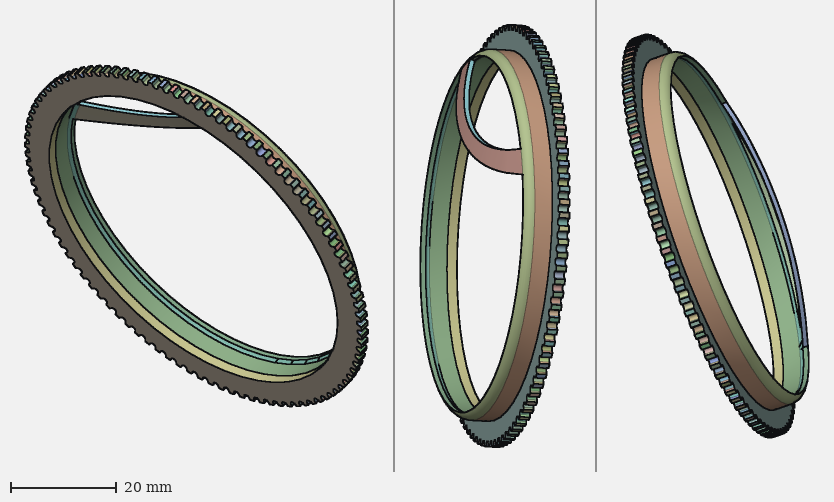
import cadquery as cq
import math

TIP_RADIUS = 40.0
ROOT_RADIUS = 39.0
GAP_FLOOR_RADIUS = 39.5
TOOTH_COUNT = 99
FIRST_TOOTH_ANGLE = -0.45
GAP_WIDTH_AT_TIP = 1.5
GAP_WIDTH_AT_FLOOR = 1.2
RING_THICKNESS = 2.0

CAP_RADIUS = 35.2
WALL = 1.0
SHOULDER_Y = 5.5
SHOULDER_RADIUS = 2.0
DOME_RADIUS = 96.0
OPENING_RADIUS = 33.8

STRAP_ANGLE = 125.1
STRAP_INNER_OFFSET = 18.2
STRAP_INNER_EDGE_RADIUS = 58.4
STRAP_OUTER_OFFSET = 21.3
STRAP_OUTER_EDGE_RADIUS = 38.8

BORE_RADIUS = CAP_RADIUS - WALL
MARGIN = 0.8


def cylinder_y(radius, y_start, y_end):
    """Cylinder about the Y axis."""
    return cq.Workplane("XZ", origin=(0, y_start, 0)).circle(radius).extrude(y_start - y_end)


def make_toothed_ring():
    """Flat ring whose rim is cut by evenly spaced gaps with sloping flanks and round floors."""
    pitch = 2 * math.pi / TOOTH_COUNT
    first_tooth = math.radians(FIRST_TOOTH_ANGLE)
    half_gap_tip = GAP_WIDTH_AT_TIP / TIP_RADIUS / 2
    half_gap_floor = GAP_WIDTH_AT_FLOOR / GAP_FLOOR_RADIUS / 2

    def rim_point(radius, angle):
        return (radius * math.cos(angle), radius * math.sin(angle))

    rim = cq.Workplane("XZ").moveTo(*rim_point(TIP_RADIUS, first_tooth - pitch / 2 + half_gap_tip))
    for tooth in range(TOOTH_COUNT):
        tooth_middle = first_tooth + tooth * pitch
        gap_middle = tooth_middle + pitch / 2
        rim = (
            rim.threePointArc(
                rim_point(TIP_RADIUS, tooth_middle),
                rim_point(TIP_RADIUS, gap_middle - half_gap_tip),
            )
            .lineTo(*rim_point(GAP_FLOOR_RADIUS, gap_middle - half_gap_floor))
            .threePointArc(
                rim_point(ROOT_RADIUS, gap_middle),
                rim_point(GAP_FLOOR_RADIUS, gap_middle + half_gap_floor),
            )
            .lineTo(*rim_point(TIP_RADIUS, gap_middle + half_gap_tip))
        )
    blank = rim.close().extrude(-RING_THICKNESS)
    return blank.cut(cylinder_y(BORE_RADIUS, -MARGIN, RING_THICKNESS + MARGIN))


def make_dome_blank():
    """Closed cap: straight wall, rounded shoulder and a spherical dome of even thickness."""
    shoulder_x = CAP_RADIUS - SHOULDER_RADIUS
    centre_gap = DOME_RADIUS - SHOULDER_RADIUS
    dome_centre_y = SHOULDER_Y - math.sqrt(centre_gap**2 - shoulder_x**2)
    tangent_angle = math.acos(shoulder_x / centre_gap)

    def shoulder_point(radius, angle):
        return (shoulder_x + radius * math.cos(angle), SHOULDER_Y + radius * math.sin(angle))

    def dome_point(radius, angle):
        return (radius * math.cos(angle), dome_centre_y + radius * math.sin(angle))

    dome_mid_angle = (tangent_angle + math.pi / 2) / 2
    inner_shoulder = SHOULDER_RADIUS - WALL
    inner_dome = DOME_RADIUS - WALL
    profile = (
        cq.Workplane("XY")
        .moveTo(BORE_RADIUS, RING_THICKNESS)
        .lineTo(CAP_RADIUS, RING_THICKNESS)
        .lineTo(CAP_RADIUS, SHOULDER_Y)
        .threePointArc(
            shoulder_point(SHOULDER_RADIUS, tangent_angle / 2),
            shoulder_point(SHOULDER_RADIUS, tangent_angle),
        )
        .threePointArc(dome_point(DOME_RADIUS, dome_mid_angle), dome_point(DOME_RADIUS, math.pi / 2))
        .lineTo(*dome_point(inner_dome, math.pi / 2))
        .threePointArc(dome_point(inner_dome, dome_mid_angle), dome_point(inner_dome, tangent_angle))
        .threePointArc(
            shoulder_point(inner_shoulder, tangent_angle / 2),
            (BORE_RADIUS, SHOULDER_Y),
        )
        .close()
    )
    return profile.revolve(360, (0, 0, 0), (0, 1, 0))


def edge_cylinder(offset, radius):
    """Cylinder whose side passes `offset` from the Y axis along the strap direction."""
    angle = math.radians(STRAP_ANGLE)
    reach = offset + radius
    centre = (reach * math.cos(angle), 0, reach * math.sin(angle))
    return cylinder_y(radius, RING_THICKNESS, DOME_RADIUS).translate(centre)


def make_cap():
    """Domed cap with a round opening, leaving a curved strap across one side."""
    strap_zone = edge_cylinder(STRAP_INNER_OFFSET, STRAP_INNER_EDGE_RADIUS).cut(
        edge_cylinder(STRAP_OUTER_OFFSET, STRAP_OUTER_EDGE_RADIUS)
    )
    opening = cylinder_y(OPENING_RADIUS, RING_THICKNESS, DOME_RADIUS).cut(strap_zone)
    return make_dome_blank().cut(opening)


toothed_ring = make_toothed_ring()
cap = make_cap()
result = cq.Compound.makeCompound([toothed_ring.val(), cap.val()])